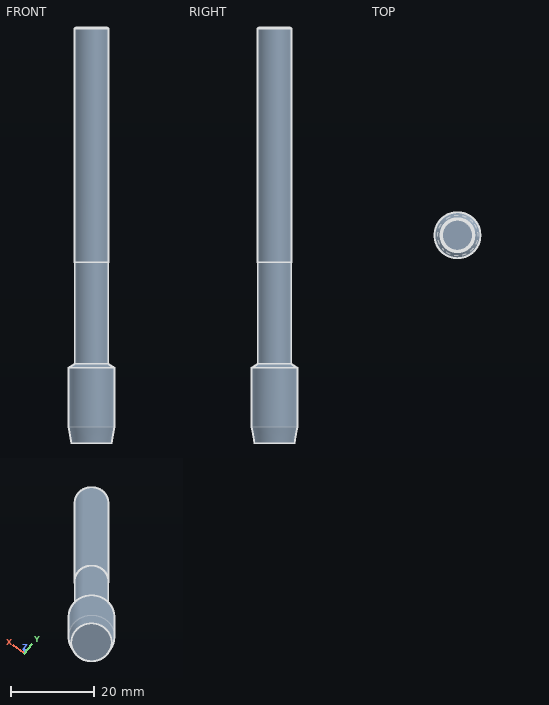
import cadquery as cq

total_length = 100.0
shank_start = 43.5
head_length = 19.1
head_chamfer_height = 1.0
taper_height = 4.0

shank_diameter = 8.2
neck_diameter = 8.1
head_diameter = 11.1
tip_diameter = 9.7

shank_chamfer = 0.4

shank_radius = shank_diameter / 2
neck_radius = neck_diameter / 2
head_radius = head_diameter / 2
tip_radius = tip_diameter / 2


def revolve_about_z(profile_points):
    """Solid of revolution from (radius, height) points."""
    return (
        cq.Workplane("XZ")
        .polyline(profile_points)
        .close()
        .revolve(360, (0, 0, 0), (0, 1, 0))
    )


def make_head():
    """Wide working end with a tapered tip and a chamfer down to the neck."""
    return revolve_about_z([
        (0, 0),
        (tip_radius, 0),
        (head_radius, taper_height),
        (head_radius, head_length - head_chamfer_height),
        (neck_radius, head_length),
        (0, head_length),
    ])


def make_shank():
    """Round rod on the head: a slightly thinner neck, then the chamfered shank."""
    return revolve_about_z([
        (0, head_length),
        (neck_radius, head_length),
        (neck_radius, shank_start),
        (shank_radius, shank_start),
        (shank_radius, total_length - shank_chamfer),
        (shank_radius - shank_chamfer, total_length),
        (0, total_length),
    ])


head = make_head()
shank = make_shank()

result = cq.Compound.makeCompound([head.val(), shank.val()])